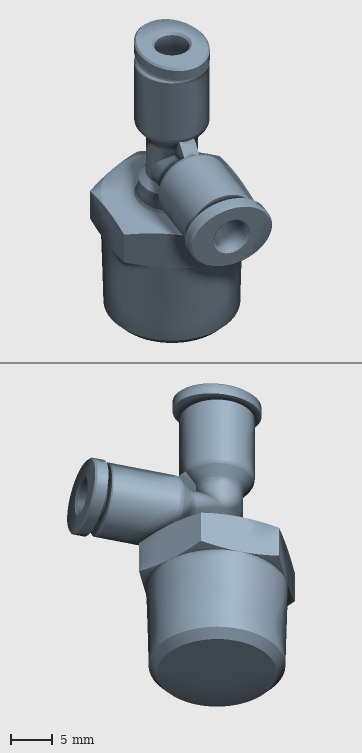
import cadquery as cq
import math

overall_height = 38.9
stem_height = 12.02
stem_top_radius = 8.48
stem_low_radius = 8.15
stem_end_radius = 7.15
stem_chamfer_height = 1.1

hex_across_flats = 17.0
hex_height = 5.0
hex_corner_angle = 20.0
hex_top = stem_height + hex_height

collar_foot_radius = 4.47
collar_foot_height = 0.27
collar_base_radius = 4.25
collar_radius = 4.0
collar_cone_top = 18.48
collar_straight_top = 19.4
collar_top = 20.3

pipe_radius = 3.1
socket_radius = 4.5
socket_length = 10.65
socket_cone_length = 1.8
socket_blend = 1.0
socket_rim_chamfer = 0.15
release_gap = 0.8
release_neck_radius = 2.75
cap_thickness = 1.6
cap_long_radius = 5.4
cap_short_radius = 4.3
cap_chamfer = 0.25
bore_radius = 2.1
bore_chamfer = 0.27
bore_depth = 11.67

arm_height = 21.8
arm_reach = 17.1

web_thickness = 1.95
web_reach = 10.0
flat_distance = 2.8
flat_top = 24.27
flat_bottom = 22.0
flat_mouth_bottom = 21.8


def turned(outline):
    """Revolve an outline of (radius, height) points about the Z axis."""
    return cq.Workplane("XZ").polyline(outline).close().revolve(360, (0, 0), (0, 1))


def threaded_stem():
    outline = [
        (0, 0),
        (stem_end_radius, 0),
        (stem_low_radius, stem_chamfer_height),
        (stem_top_radius, stem_height),
        (0, stem_height),
    ]
    return turned(outline)


def hexagon_nut():
    flat_radius = hex_across_flats / 2
    corner_radius = flat_radius / math.cos(math.pi / 6)
    corner_drop = (corner_radius - flat_radius) * math.tan(math.radians(hex_corner_angle))
    prism = (
        cq.Workplane("XY").workplane(offset=stem_height)
        .polygon(6, 2 * corner_radius).extrude(hex_height)
    )
    envelope = turned([
        (0, stem_height),
        (flat_radius, stem_height),
        (corner_radius, stem_height + corner_drop),
        (corner_radius, hex_top - corner_drop),
        (flat_radius, hex_top),
        (0, hex_top),
    ])
    return prism.intersect(envelope)


def collar():
    outline = [
        (0, stem_height),
        (collar_foot_radius, stem_height),
        (collar_foot_radius, hex_top),
        (collar_base_radius, hex_top + collar_foot_height),
        (collar_radius, collar_cone_top),
        (collar_radius, collar_straight_top),
        (pipe_radius, collar_top),
        (0, collar_top),
    ]
    return turned(outline)


def arm(start, end):
    """Pipe from start up to a push-in socket whose release cap ends at end."""
    cap_bottom = end - cap_thickness
    rim = cap_bottom - release_gap
    cone_bottom = rim - socket_length
    cone_top = cone_bottom + socket_cone_length
    body = turned([
        (0, start),
        (pipe_radius, start),
        (pipe_radius, cone_bottom),
        (socket_radius, cone_top),
        (socket_radius, rim),
        (0, rim),
    ])
    for height in (cone_bottom, cone_top):
        body = body.edges(cq.selectors.NearestToPointSelector((0, 0, height))).fillet(socket_blend)
    body = body.faces(">Z").edges().chamfer(socket_rim_chamfer)

    neck = (
        cq.Workplane("XY").workplane(offset=rim)
        .circle(release_neck_radius).extrude(release_gap)
    )
    cap = (
        cq.Workplane("XY").workplane(offset=cap_bottom)
        .ellipse(cap_long_radius, cap_short_radius).extrude(cap_thickness)
        .faces(">Z").edges().chamfer(cap_chamfer)
    )
    return body.union(neck).union(cap)


def arm_bore(end):
    """Cutter for the blind tube bore with a bevelled mouth at end."""
    bottom = end - bore_depth
    return turned([
        (0, bottom),
        (bore_radius, bottom),
        (bore_radius, end - bore_chamfer),
        (bore_radius + bore_chamfer, end),
        (0, end),
    ])


def turn_to_side(shape):
    """Swing a +Z arm to +X at arm height, keeping the cap's long axis level."""
    return (
        shape.rotate((0, 0, 0), (0, 0, 1), 90)
        .rotate((0, 0, 0), (0, 1, 0), 90)
        .translate((0, 0, arm_height))
    )


def corner_web():
    return (
        cq.Workplane("XZ", origin=(0, web_thickness / 2, arm_height))
        .polyline([(0, 0), (web_reach, 0), (0, web_reach)])
        .close()
        .extrude(web_thickness)
    )


def back_flat():
    """Cutter with a level upper end and a lower end that slopes down towards the mouth."""
    return (
        cq.Workplane("XZ")
        .polyline([
            (-flat_distance, flat_top),
            (-flat_distance, flat_bottom),
            (-pipe_radius, flat_mouth_bottom),
            (-pipe_radius, flat_top),
        ])
        .close()
        .extrude(pipe_radius, both=True)
    )


result = (
    threaded_stem()
    .union(hexagon_nut())
    .union(collar())
    .union(arm(collar_top, overall_height))
    .union(turn_to_side(arm(0, arm_reach)))
    .union(corner_web())
    .cut(back_flat())
    .cut(arm_bore(overall_height))
    .cut(turn_to_side(arm_bore(arm_reach)))
)